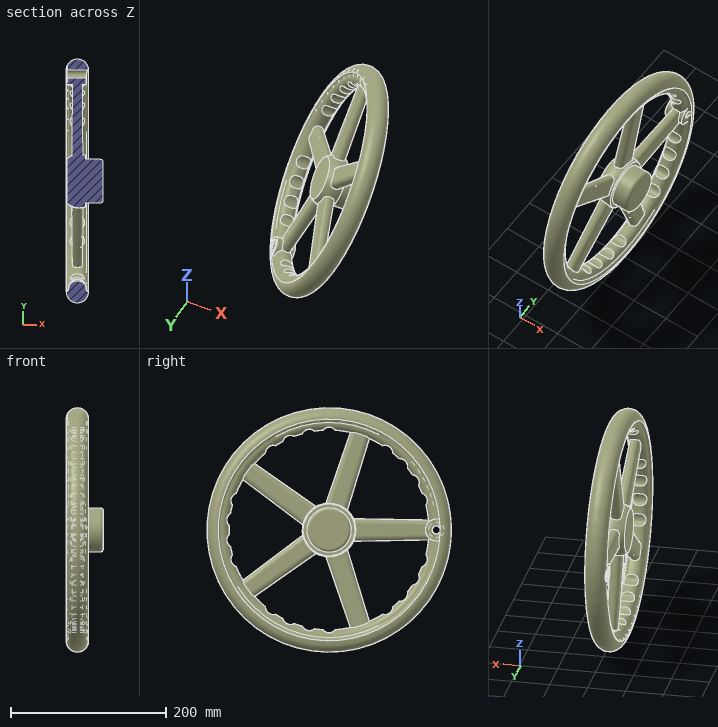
import cadquery as cq
import math


wheel_diameter = 315
rim_thickness = 29
rim_middle = rim_thickness / 2
rim_outer_radius = wheel_diameter / 2
rim_inner_radius = rim_outer_radius - rim_thickness
step_depth = 3
step_fillet = 4.5
lip_rounding = 10
lip_crest_radius = rim_inner_radius + lip_rounding
step_edge_radius = lip_crest_radius + math.sqrt(step_fillet**2 - (step_fillet - step_depth) ** 2)

hub_length = 48
hub_front = 1
hub_face_radius = 28.8
hub_face_chamfer = 1.2
hub_bulge_start = hub_front + hub_face_chamfer
hub_bulge_start_radius = hub_face_radius + hub_face_chamfer
hub_bulge_middle = 8
hub_bulge_middle_radius = 33.2
hub_body_end = 25
hub_body_end_radius = 33.5
hub_rear_radius = 57 / 2
hub_rear_fillet = 4

spoke_count = 5
spoke_pitch = 360 / spoke_count
spoke_root_radius = 20
spoke_root_width = 29.8
spoke_root_thickness = 15
spoke_tip_radius = 135
spoke_tip_width = 25.8
spoke_tip_thickness = 13
spoke_fillet = 6.3

grip_count = 4
grip_pitch = 12
grip_diameter = 20
grip_floor_radius = 132.2

handle_radius = 138
boss_diameter = 28
boss_rear = 26
spotface_depth = 1.3
handle_hole_diameter = 10
spotface_diameter = 20


def around_axis(shape, angle):
    return shape.rotate((0, 0, 0), (1, 0, 0), angle)


def revolve_about_x(profile):
    return profile.close().revolve(360, (0, 0, 0), (1, 0, 0))


def axial_cylinder(diameter, radial_position, start, end):
    """Cylinder parallel to X, centred on the +Y axis."""
    sketch = cq.Workplane("YZ", origin=(start, 0, 0)).center(radial_position, 0)
    return sketch.circle(diameter / 2).extrude(end - start)


def point_on_arc(center, radius, angle):
    """Point at an angle measured from +X towards the outside of the wheel."""
    turn = math.radians(angle)
    return (center[0] + radius * math.cos(turn), center[1] + radius * math.sin(turn))


def across_rim(point):
    """Mirror a profile point in the middle plane of the rim."""
    return (rim_thickness - point[0], point[1])


def make_rim():
    """Round grip with a hollow on each face that runs into a rounded inner lip."""
    step_edge = (0, step_edge_radius)
    fillet_center = (step_depth - step_fillet, lip_crest_radius)
    fillet_middle = point_on_arc(fillet_center, step_fillet, 35)
    lip_start = (step_depth, lip_crest_radius)
    lip_center = (step_depth + lip_rounding, lip_crest_radius)
    lip_middle = point_on_arc(lip_center, lip_rounding, 225)
    lip_end = point_on_arc(lip_center, lip_rounding, 270)
    profile = (
        cq.Workplane("XY")
        .moveTo(*step_edge)
        .threePointArc(fillet_middle, lip_start)
        .threePointArc(lip_middle, lip_end)
        .lineTo(*across_rim(lip_end))
        .threePointArc(across_rim(lip_middle), across_rim(lip_start))
        .threePointArc(across_rim(fillet_middle), across_rim(step_edge))
        .threePointArc((rim_middle, rim_outer_radius), step_edge)
    )
    return revolve_about_x(profile)


def make_hub():
    """Chamfered flat face, bulged body and a narrower cylindrical rear end."""
    profile = (
        cq.Workplane("XY")
        .moveTo(hub_front, 0)
        .lineTo(hub_front, hub_face_radius)
        .lineTo(hub_bulge_start, hub_bulge_start_radius)
        .threePointArc((hub_bulge_middle, hub_bulge_middle_radius), (hub_body_end, hub_body_end_radius))
        .lineTo(hub_body_end, hub_rear_radius)
        .lineTo(hub_length, hub_rear_radius)
        .lineTo(hub_length, 0)
    )
    return revolve_about_x(profile).faces(">X").edges().fillet(hub_rear_fillet)


def make_spoke():
    """Spoke along +Y, tapered in width and thickness, with rounded long edges."""
    spoke = (
        cq.Workplane("ZX", origin=(rim_middle, spoke_root_radius, 0))
        .rect(spoke_root_width, spoke_root_thickness)
        .workplane(offset=spoke_tip_radius - spoke_root_radius)
        .rect(spoke_tip_width, spoke_tip_thickness)
        .loft(ruled=True)
    )
    long_edges = spoke.edges("not (<Y or >Y)")
    return long_edges.fillet(spoke_fillet)


def cut_finger_grips(wheel):
    """Scallops in the inner rim, grouped midway between the spokes."""
    grip = axial_cylinder(grip_diameter, grip_floor_radius - grip_diameter / 2, 0, rim_thickness)
    for gap in range(spoke_count):
        gap_center = (gap + 0.5) * spoke_pitch
        for index in range(grip_count):
            offset = (index - (grip_count - 1) / 2) * grip_pitch
            wheel = wheel.cut(around_axis(grip, gap_center + offset))
    return wheel


def add_handle_boss(wheel):
    """Boss on the first spoke's rim end, spotfaced and drilled through."""
    boss = axial_cylinder(boss_diameter, handle_radius, 0, boss_rear)
    inside_grip = axial_cylinder(2 * step_edge_radius, 0, 0, boss_rear)
    wheel = wheel.union(boss.intersect(inside_grip))
    wheel = wheel.cut(axial_cylinder(spotface_diameter, handle_radius, 0, spotface_depth))
    return wheel.cut(axial_cylinder(handle_hole_diameter, handle_radius, 0, rim_thickness))


wheel = cut_finger_grips(make_rim())
wheel = wheel.union(make_hub())
for spoke_index in range(spoke_count):
    wheel = wheel.union(around_axis(make_spoke(), spoke_index * spoke_pitch))
result = add_handle_boss(wheel)